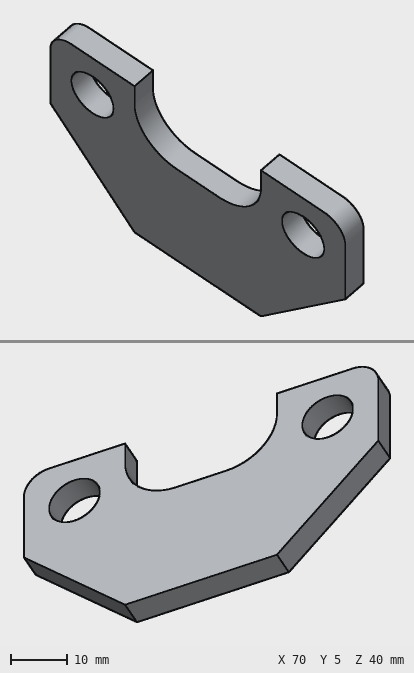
import cadquery as cq

width = 70.0
thickness = 5.0
height = 40.0
top_corner_radius = 5.0
bottom_chamfer = 20.0

notch_width = 30.0
notch_depth = 15.0
notch_corner_radius = 10.0

hole_diameter = 10.0
hole_edge_distance = 10.0


def upright_box(box_width, box_height, box_bottom):
    """Box of plate thickness, centred on X and Y, standing on box_bottom."""
    return cq.Workplane("XY").workplane(offset=box_bottom).box(
        box_width, thickness, box_height, centered=(True, True, False)
    )


def make_plate():
    """Plate with rounded top corners and large chamfers on the bottom corners."""
    plate = upright_box(width, height, -height / 2)
    plate = plate.edges("|Y and >Z").fillet(top_corner_radius)
    return plate.edges("|Y and <Z").chamfer(bottom_chamfer)


def make_notch():
    """Cutter for the open-topped notch with rounded lower corners."""
    notch = upright_box(notch_width, notch_depth, height / 2 - notch_depth)
    return notch.edges("|Y and <Z").fillet(notch_corner_radius)


def make_holes():
    """Cutters for the pair of through holes along Y."""
    hole_x = width / 2 - hole_edge_distance
    hole_z = height / 2 - hole_edge_distance
    return (
        cq.Workplane("XZ")
        .pushPoints([(-hole_x, hole_z), (hole_x, hole_z)])
        .circle(hole_diameter / 2)
        .extrude(thickness / 2, both=True)
    )


result = make_plate().cut(make_notch()).cut(make_holes())